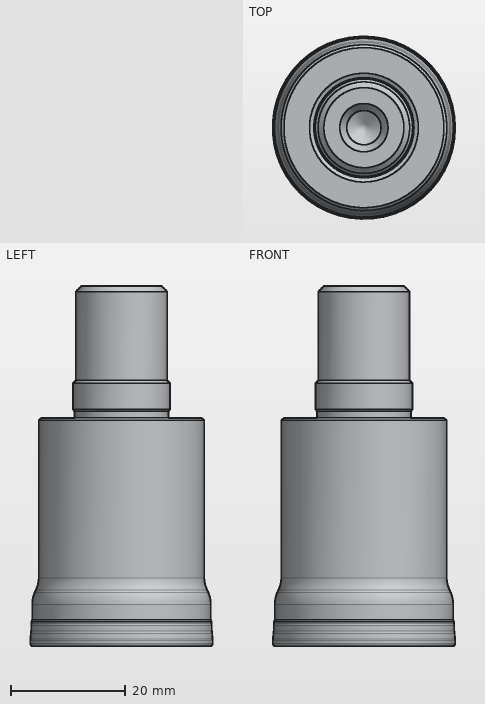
import cadquery as cq
import math

total_height = 63.0
housing_top_z = 39.95
seat_depth = 0.4
seat_z = housing_top_z - seat_depth

barrel_radius = 29.0 / 2
top_chamfer_width = 0.5
top_chamfer_height = 0.45
seat_mouth_radius = 9.5

skirt_radius = 31.25 / 2
shoulder_top_z = 12.05
shoulder_radius = 5.0
shoulder_angle = math.radians(25)

skirt_bottom_z = 4.65
rim_upper_radius = 15.75
rim_upper_z = 4.3
rim_upper_bottom_z = 4.1
rim_middle_radius = 15.8
rim_middle_z = 3.7
rim_middle_bottom_z = 2.7
rim_lower_radius = 15.9
rim_lower_z = 2.3
base_radius = 31.95 / 2
base_band_z = 1.1
rim_bottom_radius = 15.95
rim_bottom_z = 1.3
base_fillet = 0.55

rod_radius = 16.0 / 2
rod_chamfer = 1.0
collar_radius = 17.0 / 2
collar_top_z = 46.0
collar_bottom_z = 41.45
collar_chamfer = rod_chamfer / 2
neck_radius = 16.5 / 2
neck_top_z = 41.1
foot_fillet = 0.5
foot_radius = neck_radius + foot_fillet

hole_radius = 6.0 / 2
countersink_radius = 4.2
countersink_depth = 2.1
hole_depth = 12.6
drill_tip_angle = math.radians(118)


def revolve(profile):
    """Close a half profile in the XZ plane and turn it about the Z axis."""
    return profile.close().revolve(360, (0, 0, 0), (0, 1, 0))


def make_housing():
    """Barrel with a flared rim and a shallow conical seat in its top face."""
    arc_width = shoulder_radius * (1 - math.cos(shoulder_angle))
    arc_height = shoulder_radius * math.sin(shoulder_angle)
    mid_width = shoulder_radius * (1 - math.cos(shoulder_angle / 2))
    mid_height = shoulder_radius * math.sin(shoulder_angle / 2)
    cone_width = skirt_radius - barrel_radius - 2 * arc_width
    cone_height = cone_width / math.tan(shoulder_angle)
    shoulder_bottom_z = shoulder_top_z - 2 * arc_height - cone_height
    profile = (
        cq.Workplane("XZ")
        .moveTo(0, seat_z)
        .lineTo(foot_radius, seat_z)
        .lineTo(seat_mouth_radius, housing_top_z)
        .lineTo(barrel_radius - top_chamfer_width, housing_top_z)
        .lineTo(barrel_radius, housing_top_z - top_chamfer_height)
        .lineTo(barrel_radius, shoulder_top_z)
        .threePointArc(
            (barrel_radius + mid_width, shoulder_top_z - mid_height),
            (barrel_radius + arc_width, shoulder_top_z - arc_height),
        )
        .lineTo(skirt_radius - arc_width, shoulder_bottom_z + arc_height)
        .threePointArc(
            (skirt_radius - mid_width, shoulder_bottom_z + mid_height),
            (skirt_radius, shoulder_bottom_z),
        )
        .lineTo(skirt_radius, skirt_bottom_z)
        .lineTo(rim_upper_radius, rim_upper_z)
        .lineTo(rim_upper_radius, rim_upper_bottom_z)
        .lineTo(rim_middle_radius, rim_middle_z)
        .lineTo(rim_middle_radius, rim_middle_bottom_z)
        .lineTo(rim_lower_radius, rim_lower_z)
        .lineTo(rim_bottom_radius, rim_bottom_z)
        .lineTo(base_radius, base_band_z)
        .lineTo(base_radius, 0)
        .lineTo(0, 0)
    )
    return revolve(profile).faces("<Z").edges().fillet(base_fillet)


def make_hole():
    """Blind hole with a drill tip and a conical countersink."""
    countersink_bottom_z = total_height - countersink_depth
    hole_bottom_z = total_height - hole_depth
    tip_height = hole_radius / math.tan(drill_tip_angle / 2)
    profile = (
        cq.Workplane("XZ")
        .moveTo(0, total_height)
        .lineTo(countersink_radius, total_height)
        .lineTo(hole_radius, countersink_bottom_z)
        .lineTo(hole_radius, hole_bottom_z)
        .lineTo(0, hole_bottom_z - tip_height)
    )
    return revolve(profile)


def make_rod():
    """Stepped rod with a collar, a neck and a filleted foot, standing on the seat."""
    fillet_mid = foot_fillet * (1 - math.sqrt(0.5))
    profile = (
        cq.Workplane("XZ")
        .moveTo(0, seat_z)
        .lineTo(foot_radius, seat_z)
        .threePointArc(
            (neck_radius + fillet_mid, seat_z + fillet_mid),
            (neck_radius, seat_z + foot_fillet),
        )
        .lineTo(neck_radius, neck_top_z)
        .lineTo(collar_radius, collar_bottom_z)
        .lineTo(collar_radius, collar_top_z)
        .lineTo(rod_radius, collar_top_z + collar_chamfer)
        .lineTo(rod_radius, total_height - rod_chamfer)
        .lineTo(rod_radius - rod_chamfer, total_height)
        .lineTo(0, total_height)
    )
    return revolve(profile).cut(make_hole())


housing = make_housing()
rod = make_rod()

result = cq.Compound.makeCompound([housing.val(), rod.val()])